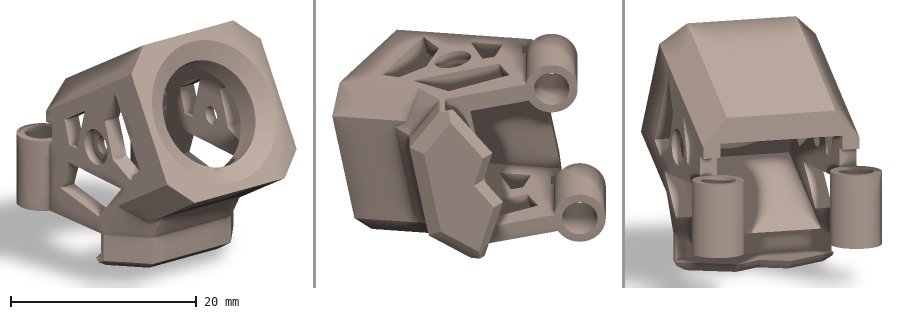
import cadquery as cq
import math


TILT = 30.0
SLOPE = math.tan(math.radians(TILT))
COS_TILT = math.cos(math.radians(TILT))
SIN_TILT = math.sin(math.radians(TILT))

half_width = 8.87
nose = (27.2, 10.65)
front_length = 17.9
apex = (nose[0] - front_length * SIN_TILT, nose[1] + front_length * COS_TILT)
rear_x = 4.73
base_z = 4.0
roof_thickness = 2.42
front_thickness = 4.0
floor_thickness = 1.88
cavity_half_width = 6.94
edge_chamfer = 2.7

step_x = 5.8
step_top_z = 14.0

tube_diameter = 5.6
tube_bore = 3.8
tube_x = tube_diameter / 2
tube_y = 7.83
tube_top_z = 12.0

lens_diameter = 11.85
lens_rim_diameter = 15.85
lens_rim_depth = 1.0

screw_x = 13.45
screw_z = 13.65
screw_diameter = 2.0
screw_head_diameter = 4.0
screw_head_depth = 1.0

foot_rear_x = 14.28
foot_front_x = 18.88
foot_corner_x = 4.0
foot_corner_y = 3.54
corner_slope = foot_corner_x / foot_corner_y
foot_pocket_half_width = 7.15
foot_pocket_depth = 1.52
hook_thickness = 1.0
hook_tip_x = 10.25
hook_tip_y = 2.96
hook_slope = 0.54
hook_front_bevel = 1.47
hook_corner_bevel = 2.2


def inner_front_x(z):
    """X of the inner face of the hood front at a given height."""
    return nose[0] - (z - nose[1]) * SLOPE - front_thickness / COS_TILT


WINDOWS = [
    [(7.97, 15.2), (11.48, 17.27), (10.17, 12.5), (8.85, 12.5)],
    [
        (inner_front_x(20.9), 20.9),
        (14.95, 17.1),
        (16.35, 13.1),
        (19.37, 11.61),
        (inner_front_x(13.03), 13.03),
    ],
    [(8.38, 10.53), (17.85, 10.15), (13.9, 5.82), (7.2, 7.18)],
]

REACH = 54.4


def prism(points, half_depth):
    """Extrude an XZ outline equally to both sides of Y = 0."""
    return cq.Workplane("XZ").polyline(points).close().extrude(half_depth, both=True)


def beyond_chamfer(point, inward, along, depth, width):
    """Space outside the two chamfer faces of an XZ edge through the given point."""
    plane = cq.Plane(
        origin=(point[0], 0, point[1]),
        xDir=(inward[0], 0, inward[1]),
        normal=(along[0], 0, along[1]),
    )
    flat = half_width - width
    inner = (-depth * flat / width, 0)
    outer = (2 * depth, flat + 2 * width)
    space = cq.Workplane()
    for side in (-1, 1):
        wedge = (
            cq.Workplane(plane)
            .moveTo(*inner)
            .lineTo(outer[0], side * outer[1])
            .lineTo(inner[0], side * outer[1])
            .close()
            .extrude(REACH, both=True)
        )
        space = space.add(wedge)
    return space.combine()


def hood_blank():
    neck_x = foot_front_x
    rise = (nose[1] - base_z - (nose[0] - neck_x) * SLOPE) / (1 / SLOPE - SLOPE)
    outline = [
        apex,
        nose,
        (neck_x + rise, base_z + rise / SLOPE),
        (neck_x, base_z),
        (rear_x, base_z),
        (rear_x, tube_top_z),
        (step_x, tube_top_z),
        (step_x, step_top_z),
        (rear_x, step_top_z),
        (rear_x, apex[1] - (apex[0] - rear_x) * SLOPE),
    ]
    blank = prism(outline, half_width)
    uphill = (COS_TILT, SIN_TILT)
    upright = (-SIN_TILT, COS_TILT)
    down = (SIN_TILT, -COS_TILT)
    roof = beyond_chamfer(apex, down, uphill, edge_chamfer, edge_chamfer)
    belly = beyond_chamfer(nose, upright, uphill, edge_chamfer, edge_chamfer)
    neck = beyond_chamfer(
        (neck_x, base_z),
        (-COS_TILT, SIN_TILT),
        (SIN_TILT, COS_TILT),
        foot_corner_x * COS_TILT,
        foot_corner_y,
    )
    below_belly = prism(
        [
            (nose[0] + offset * COS_TILT + drop * SIN_TILT, nose[1] + offset * SIN_TILT - drop * COS_TILT)
            for offset, drop in ((0, 0), (-REACH, 0), (-REACH, REACH), (0, REACH))
        ],
        REACH,
    )
    return blank.cut(roof).cut(belly.union(below_belly).intersect(neck))


def hood_cavity():
    inner_nose = (
        nose[0] - front_thickness * COS_TILT - floor_thickness * SIN_TILT,
        nose[1] - front_thickness * SIN_TILT + floor_thickness * COS_TILT,
    )
    height = front_length - roof_thickness - floor_thickness
    inner_apex = (inner_nose[0] - height * SIN_TILT, inner_nose[1] + height * COS_TILT)
    outline = [
        inner_apex,
        inner_nose,
        (inner_nose[0] - REACH * COS_TILT, inner_nose[1] - REACH * SIN_TILT),
        (inner_apex[0] - REACH * COS_TILT, inner_apex[1] - REACH * SIN_TILT),
    ]
    return prism(outline, cavity_half_width)


def lens_opening():
    centre = ((apex[0] + nose[0]) / 2, 0, (apex[1] + nose[1]) / 2)
    plane = cq.Plane(origin=centre, xDir=(0, 1, 0), normal=(-COS_TILT, 0, -SIN_TILT))
    rim_radius = lens_rim_diameter / 2
    radius = lens_diameter / 2
    rim = cq.Workplane(plane).circle(rim_radius).workplane(offset=lens_rim_depth).circle(radius).loft()
    return cq.Workplane(plane).circle(radius).extrude(front_thickness).union(rim)


def screw_holes():
    plane = cq.Workplane("XZ").center(screw_x, screw_z)
    holes = plane.circle(screw_diameter / 2).extrude(half_width, both=True)
    for side in (-1, 1):
        head = plane.workplane(offset=side * half_width).circle(screw_head_diameter / 2)
        holes = holes.union(head.extrude(-side * screw_head_depth))
    return holes


def foot_wall():
    corner_y = half_width - foot_corner_y
    half_plan = [
        (foot_front_x, corner_y),
        (foot_front_x - foot_corner_x, half_width),
        (foot_rear_x, half_width),
        (foot_rear_x + foot_pocket_depth, foot_pocket_half_width),
    ]
    plan = half_plan + [(x, -y) for x, y in reversed(half_plan)]
    return cq.Workplane("XY").workplane(offset=hook_thickness).polyline(plan).close().extrude(
        base_z - hook_thickness)


def hook_plan(tip_x, front_x, corner_x):
    """Hook outline; corner_x is where the corner face reaches the full half width."""
    tail_x = tip_x + hook_slope * (half_width - hook_tip_y)
    overshoot = (corner_x - tail_x) / (hook_slope + corner_slope)
    half_plan = [
        (front_x, half_width - (front_x - corner_x) / corner_slope),
        (tail_x + hook_slope * overshoot, half_width + overshoot),
        (tip_x, hook_tip_y),
    ]
    notch = (tip_x + hook_slope * hook_tip_y, 0)
    return half_plan + [notch] + [(x, -y) for x, y in reversed(half_plan)]


def hook():
    corner_x = foot_front_x - foot_corner_x
    bottom = hook_plan(
        hook_tip_x + hook_thickness,
        foot_front_x - hook_front_bevel,
        corner_x - hook_corner_bevel,
    )
    top = hook_plan(hook_tip_x, foot_front_x, corner_x)
    plate = (
        cq.Workplane("XY").polyline(bottom).close()
        .workplane(offset=hook_thickness).polyline(top).close()
        .loft(ruled=True)
    )
    return plate.intersect(cq.Workplane("XY").box(REACH, 2 * half_width, REACH))


def tubes(diameter):
    centres = [(tube_x, -tube_y), (tube_x, tube_y)]
    return cq.Workplane("XY").workplane(offset=base_z).pushPoints(centres).circle(
        diameter / 2).extrude(tube_top_z - base_z)


body = hood_blank().cut(hood_cavity())
body = body.cut(lens_opening()).cut(screw_holes())
for window in WINDOWS:
    body = body.cut(prism(window, half_width))
body = body.union(foot_wall()).union(hook())
result = body.union(tubes(tube_diameter)).cut(tubes(tube_bore))